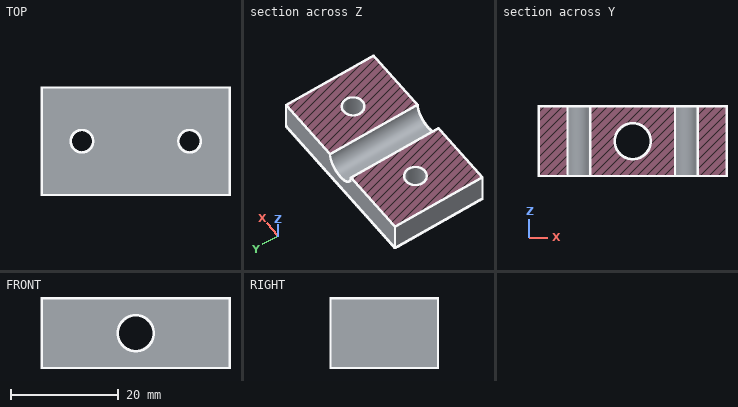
import cadquery as cq

length = 35.0
width = 20.0
height = 13.0

cross_bore_diameter = 6.65
mounting_hole_diameter = 4.13
mounting_hole_spacing = 20.0


def make_block():
    """Rectangular block centred on the origin."""
    return cq.Workplane("XY").box(length, width, height)


def drill_cross_bore(body):
    """Bore through the block along Y, centred on the front face."""
    return body.faces("<Y").workplane(centerOption="CenterOfBoundBox").hole(cross_bore_diameter)


def drill_mounting_holes(body):
    """Two vertical through holes, placed symmetrically along X."""
    return (
        body.faces(">Z")
        .workplane(centerOption="CenterOfBoundBox")
        .pushPoints([(side * mounting_hole_spacing / 2, 0) for side in (-1, 1)])
        .hole(mounting_hole_diameter)
    )


result = drill_mounting_holes(drill_cross_bore(make_block()))